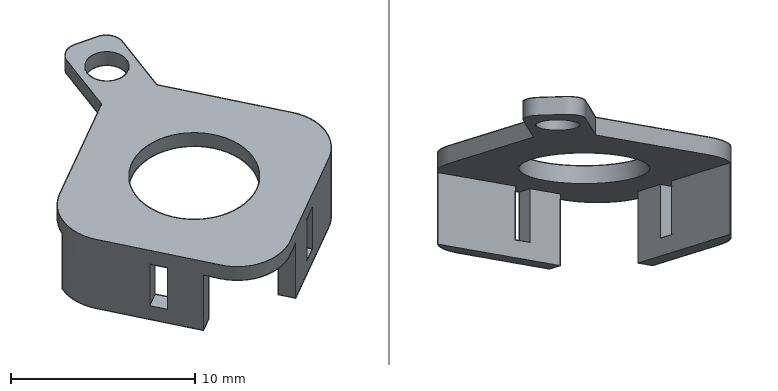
import cadquery as cq
import math

plate_hole_diameter = 7.1
corner_radius = 3.0
plate_side = plate_hole_diameter + 2 * corner_radius
plate_thickness = 1.0
half_side = plate_side / 2

wall_thickness = 1.0
wall_height = 4.0
wall_setback = 4.0
wall_length = plate_side - wall_setback
slot_width = 1.0
slot_height = 3.0

tab_hole_diameter = 2.4
tab_hole_margin = 0.5
tab_width = tab_hole_diameter + 2 * tab_hole_margin
tab_length = 5.0
tab_corner_radius = 1.0
tab_hole_distance = 2.6
tab_angle = 135
corner_clip = tab_width / math.sqrt(2)
tab_root_x = -half_side + corner_clip / 2
tab_root_y = half_side - corner_clip / 2


def rounded_square(height):
    """Plate outline, with its -X +Y corner left square, extruded up from Z = 0."""
    block = cq.Workplane("XY").box(plate_side, plate_side, height, centered=(True, True, False))
    return block.edges("|Z and (>X or <Y)").fillet(corner_radius)


def make_plate():
    """Square plate with its -X +Y corner clipped to the width of the tab."""
    clip = (
        cq.Workplane("XY")
        .moveTo(-half_side, half_side)
        .lineTo(-half_side + corner_clip, half_side)
        .lineTo(-half_side, half_side - corner_clip)
        .close()
        .extrude(plate_thickness)
    )
    hole = cq.Workplane("XY").circle(plate_hole_diameter / 2).extrude(plate_thickness)
    return rounded_square(plate_thickness).cut(clip).cut(hole)


def make_tab():
    """Flat tab with a rounded end and a hole, pointing away from the plate centre."""
    tab = (
        cq.Workplane("XY")
        .box(tab_length, tab_width, plate_thickness, centered=(False, True, False))
        .edges("|Z and >X")
        .fillet(tab_corner_radius)
    )
    hole = (
        cq.Workplane("XY")
        .center(tab_hole_distance, 0)
        .circle(tab_hole_diameter / 2)
        .extrude(plate_thickness)
    )
    turned_tab = tab.cut(hole).rotate((0, 0, 0), (0, 0, 1), tab_angle)
    return turned_tab.translate((tab_root_x, tab_root_y, 0))


def make_front_wall():
    """Slotted wall under the -Y edge, trimmed by the rounded plate corner."""
    slab = (
        cq.Workplane("XY")
        .box(wall_length, wall_thickness, wall_height, centered=False)
        .translate((-half_side, -half_side, 0))
    )
    slot = (
        cq.Workplane("XY")
        .box(slot_width, wall_thickness, slot_height, centered=(True, False, False))
        .translate((0, -half_side, wall_height - slot_height))
    )
    wall = slab.intersect(rounded_square(wall_height)).cut(slot)
    return wall.translate((0, 0, -wall_height))


def mirror_across_diagonal(body):
    """Swap the -Y edge with the +X edge by mirroring across the line y = -x."""
    quarter_turn_clockwise = -90
    return body.mirror("XZ").rotate((0, 0, 0), (0, 0, 1), quarter_turn_clockwise)


front_wall = make_front_wall()
side_wall = mirror_across_diagonal(front_wall)

result = make_plate().union(make_tab()).union(front_wall).union(side_wall)